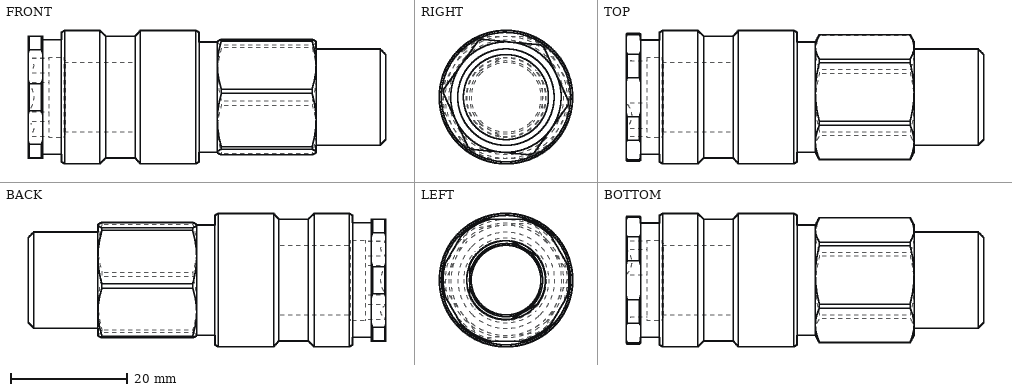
import cadquery as cq
import math

total_length = 61.5

flange_end = 2.45
flange_across_flats = 21.0
flange_corner_diameter = 22.0
flange_edge_chamfer = 0.2

neck_diameter = 19.75
sleeve_start = 5.7
first_collar_end = 12.3
waist_start = 13.35
waist_end = 18.4
second_collar_start = 19.3
sleeve_end = 29.4
collar_diameter = 23.0
waist_diameter = 21.0
collar_chamfer_length = 0.55
collar_chamfer_depth = 0.35

rear_neck_diameter = 19.0
hex_start = 32.55
hex_end = 49.5
hex_across_flats = 19.0
hex_corner_diameter = 21.5
hex_chamfer_length = 0.7
hex_turn = -5.4

spigot_diameter = 16.6
spigot_chamfer = 1.0

mouth_diameter = 13.5
relief_diameter = 13.8
seat_diameter = 12.6
bore_diameter = 12.0
seat_depth = 6.1
seat_length = 0.3
bore_depth = 18.45
pad_count = 3
pad_distance = 6.3
pad_length = 3.55
pad_lead_in = 0.9


def revolve_profile(points):
    """Revolve (x, radius) points, closed along the axis, about X."""
    outline = [(points[0][0], 0), *points, (points[-1][0], 0)]
    return cq.Workplane("XY").polyline(outline).close().revolve(360, (0, 0, 0), (1, 0, 0))


def cylinder(start, end, diameter):
    return revolve_profile([(start, diameter / 2), (end, diameter / 2)])


def hexagonal_prism(start, end, across_flats, turn):
    """Hexagon with two flats facing +Z and -Z before it is turned about X."""
    corner_circle = across_flats / math.cos(math.pi / 6)
    prism = cq.Workplane("YZ", origin=(start, 0, 0)).polygon(6, corner_circle).extrude(end - start)
    return prism.rotate((0, 0, 0), (1, 0, 0), turn)


def make_flange():
    blank = cylinder(0, flange_end, flange_corner_diameter).edges().chamfer(flange_edge_chamfer)
    return blank.intersect(hexagonal_prism(0, flange_end, flange_across_flats, 0))


def make_sleeve():
    collar_radius = collar_diameter / 2
    end_radius = collar_radius - collar_chamfer_depth
    waist_radius = waist_diameter / 2
    return revolve_profile([
        (sleeve_start, end_radius),
        (sleeve_start + collar_chamfer_length, collar_radius),
        (first_collar_end, collar_radius),
        (waist_start, waist_radius),
        (waist_end, waist_radius),
        (second_collar_start, collar_radius),
        (sleeve_end - collar_chamfer_length, collar_radius),
        (sleeve_end, end_radius),
    ])


def make_wrench_hexagon():
    flat_radius = hex_across_flats / 2
    corner_radius = hex_corner_diameter / 2
    blank = revolve_profile([
        (hex_start, flat_radius),
        (hex_start + hex_chamfer_length, corner_radius),
        (hex_end - hex_chamfer_length, corner_radius),
        (hex_end, flat_radius),
    ])
    return blank.intersect(hexagonal_prism(hex_start, hex_end, hex_across_flats, hex_turn))


def make_socket():
    """Volume removed from the mouth, leaving the guide pads in place."""
    mouth_radius = mouth_diameter / 2
    mouth = cylinder(0, pad_length, mouth_diameter)
    pad_height = mouth_radius - pad_distance
    pad = cq.Workplane("XY").box(
        pad_length, pad_height, mouth_diameter, centered=(False, False, True)
    ).translate((0, pad_distance, 0))
    for index in range(pad_count):
        mouth = mouth.cut(pad.rotate((0, 0, 0), (1, 0, 0), index * 360 / pad_count))
    lead_in = revolve_profile([(0, mouth_radius), (pad_lead_in, pad_distance)])
    relief = cylinder(pad_length, seat_depth, relief_diameter)
    seat = cylinder(seat_depth, seat_depth + seat_length, seat_diameter)
    bore = cylinder(seat_depth, bore_depth, bore_diameter)
    return mouth.union(lead_in).union(relief).union(seat).union(bore)


front_neck = cylinder(flange_end, sleeve_start, neck_diameter)
rear_neck = cylinder(sleeve_end, hex_start, rear_neck_diameter)
spigot = cylinder(hex_end, total_length, spigot_diameter).faces(">X").chamfer(spigot_chamfer)

body = make_flange()
for section in (front_neck, make_sleeve(), rear_neck, make_wrench_hexagon(), spigot):
    body = body.union(section)

result = body.cut(make_socket())